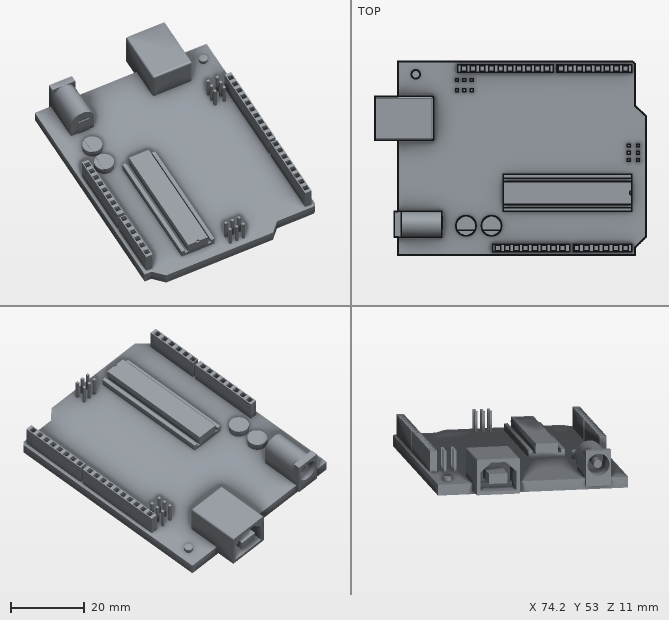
import cadquery as cq


board_length = 67.9
board_shoulder = 64.85
board_width = 53.0
board_top = 3.05
corner_chamfer = 0.75
tab_bottom_start = 2.1
tab_bottom_end = 5.05
tab_top_end = 38.0
tab_top_start = 40.8

total_height = 11.0
connector_bottom = 1.05
header_top = 8.9

usb_front = -6.3
usb_length = 16.1
usb_width = 12.0
usb_center_y = 37.4
usb_fillet = 0.5
usb_wall = 1.0
usb_mouth_width = usb_width - 2 * usb_wall
usb_mouth_roof = 4.15
usb_mouth_shoulder = 7.3
usb_mouth_depth = 8.9
tongue_width = 5.1
tongue_bottom = 4.1
tongue_top = 6.8

jack_front = -1.05
jack_width = 7.05
jack_center_y = 8.45
jack_flange_length = 2.0
jack_back = 11.95
jack_barrel_radius = jack_width / 2
jack_axis = total_height - jack_barrel_radius
bore_axis = 7.0
bore_radius = 3.05
bore_depth = 8.9
center_pin_radius = 1.1
center_pin_recess = 1.05
terminal_thickness = 0.2
terminal_width = 3.3
terminal_center_y = 8.8
terminal_top = 7.7

capacitor_centers = [(18.6, 8.0), (25.6, 8.0)]
capacitor_radius = 2.75
capacitor_height = 2.0
capacitor_step = 0.15
capacitor_chord = 1.25

button_center = (4.9, 49.4)
button_radius = 1.2
button_height = 1.05

chip_left = 28.9
chip_length = 35.0
chip_center_y = 17.0
rail_outer = 5.05
rail_inner = 4.0
body_half = 3.05
body_bulge_half = 3.2
groove_floor = 4.0
rail_top = 5.05
body_bulge = 5.6
chip_top = 6.8
chip_mark_radius = 0.5
chip_mark_depth = 0.5

strip_width = 2.0
strip_hole = 1.5
strip_hole_depth = 2.0
strip_margin = 1.0
front_strip_y = strip_margin + strip_width / 2
back_strip_y = board_width - front_strip_y
strip_end = 63.9
strips = [
    (16.3, 42.5, back_strip_y, 10, 18.0, 2.5),
    (43.4, strip_end, back_strip_y, 8, 44.6, 2.5),
    (25.9, 47.05, front_strip_y, 8, 27.4, 2.5),
    (47.9, strip_end, front_strip_y, 6, 48.9, 2.7),
]

pin_size = 0.75
pin_pitch = 2.0
pins_per_row = 3
left_pins_x = 16.2
left_pin_rows_y = (45.05, 47.85)
right_pins_y = 26.0
right_pin_columns_x = (63.15, 65.7)


def block(x_min, x_max, y_center, width, z_min, z_max):
    """Box spanning x_min..x_max and z_min..z_max, centered across Y."""
    return (
        cq.Workplane("XY", origin=(x_min, y_center, z_min))
        .box(x_max - x_min, width, z_max - z_min, centered=(False, True, False))
    )


def rod_along_x(x_min, x_max, y_center, z_center, radius):
    """Cylinder running along X."""
    return (
        cq.Workplane("YZ", origin=(x_min, y_center, z_center))
        .circle(radius)
        .extrude(x_max - x_min)
    )


def make_board():
    outline = [
        (0, 0),
        (board_shoulder, 0),
        (board_shoulder, tab_bottom_start),
        (board_length, tab_bottom_end),
        (board_length, tab_top_end),
        (board_shoulder, tab_top_start),
        (board_shoulder, board_width - corner_chamfer),
        (board_shoulder - corner_chamfer, board_width),
        (0, board_width),
    ]
    return cq.Workplane("XY").polyline(outline).close().extrude(board_top)


def make_usb_socket():
    shell = block(
        usb_front, usb_front + usb_length, usb_center_y, usb_width, connector_bottom, total_height
    )
    shell = shell.edges("(>Z and (not <X)) or (|Z and >X)").fillet(usb_fillet)

    mouth_floor = connector_bottom + usb_wall
    mouth_top = total_height - usb_wall
    mouth_half = usb_mouth_width / 2
    roof_half = usb_mouth_roof / 2
    mouth = (
        cq.Workplane("YZ", origin=(usb_front, usb_center_y, 0))
        .polyline([
            (-mouth_half, mouth_floor),
            (mouth_half, mouth_floor),
            (mouth_half, usb_mouth_shoulder),
            (roof_half, mouth_top),
            (-roof_half, mouth_top),
            (-mouth_half, usb_mouth_shoulder),
        ])
        .close()
        .extrude(usb_mouth_depth)
    )
    tongue = block(
        usb_front, usb_front + usb_mouth_depth,
        usb_center_y, tongue_width, tongue_bottom, tongue_top,
    )
    return shell.cut(mouth).union(tongue)


def make_power_jack():
    flange_back = jack_front + jack_flange_length
    bore_end = jack_front + bore_depth
    flange = block(
        jack_front, flange_back, jack_center_y, jack_width, connector_bottom, total_height
    )
    base = block(flange_back, jack_back, jack_center_y, jack_width, connector_bottom, jack_axis)
    barrel = rod_along_x(flange_back, jack_back, jack_center_y, jack_axis, jack_barrel_radius)
    bore = rod_along_x(jack_front, bore_end, jack_center_y, bore_axis, bore_radius)
    center_pin = rod_along_x(
        jack_front + center_pin_recess, bore_end, jack_center_y, bore_axis, center_pin_radius
    )
    terminal = block(
        jack_back, jack_back + terminal_thickness,
        terminal_center_y, terminal_width, connector_bottom, terminal_top,
    )
    return flange.union(base).union(barrel).cut(bore).union(center_pin).union(terminal)


def make_capacitor(center):
    x, y = center
    top = board_top + capacitor_height
    can = cq.Workplane("XY", origin=(x, y, board_top)).circle(capacitor_radius).extrude(capacitor_height)
    segment_depth = capacitor_radius - capacitor_chord
    segment = block(
        x - capacitor_radius, x + capacitor_radius,
        y - capacitor_chord - segment_depth / 2, segment_depth,
        top - capacitor_step, top,
    )
    return can.cut(segment)


def make_button():
    x, y = button_center
    return cq.Workplane("XY", origin=(x, y, board_top)).circle(button_radius).extrude(button_height)


def make_chip():
    right_side = [
        (rail_outer, board_top),
        (rail_outer, rail_top),
        (rail_inner, rail_top),
        (rail_inner, groove_floor),
        (body_half, groove_floor),
        (body_bulge_half, body_bulge),
        (body_half, chip_top),
    ]
    left_side = [(-y, z) for y, z in reversed(right_side)]
    chip = (
        cq.Workplane("YZ", origin=(chip_left, chip_center_y, 0))
        .polyline(right_side + left_side)
        .close()
        .extrude(chip_length)
    )
    mark = (
        cq.Workplane("XY", origin=(chip_left + chip_length, chip_center_y, chip_top))
        .circle(chip_mark_radius)
        .extrude(-chip_mark_depth)
    )
    return chip.cut(mark)


def make_strip(left, right, y_center, hole_count, first_hole, pitch):
    strip = block(left, right, y_center, strip_width, board_top, header_top)
    hole_centers = [(first_hole + i * pitch, y_center) for i in range(hole_count)]
    holes = (
        cq.Workplane("XY", origin=(0, 0, header_top))
        .pushPoints(hole_centers)
        .rect(strip_hole, strip_hole)
        .extrude(-strip_hole_depth)
    )
    return strip.cut(holes)


def make_pins():
    steps = [i * pin_pitch for i in range(pins_per_row)]
    centers = [(left_pins_x + step, y) for y in left_pin_rows_y for step in steps]
    centers += [(x, right_pins_y + step) for x in right_pin_columns_x for step in steps]
    return (
        cq.Workplane("XY", origin=(0, 0, board_top))
        .pushPoints(centers)
        .rect(pin_size, pin_size)
        .extrude(header_top - board_top)
    )


result = make_board().union(make_usb_socket()).union(make_power_jack())
for capacitor_center in capacitor_centers:
    result = result.union(make_capacitor(capacitor_center))
result = result.union(make_button()).union(make_chip())
for strip_sizes in strips:
    result = result.union(make_strip(*strip_sizes))
result = result.union(make_pins())